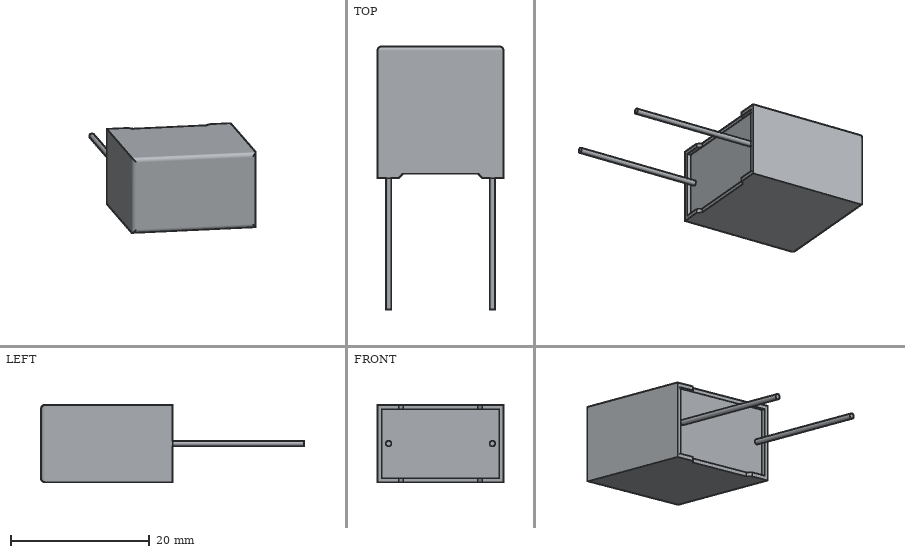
import cadquery as cq

total_length = 38.1
case_width = 18.3
case_height = 11.2
case_depth = 19.05
wall = 0.6
back_edge_radius = 0.6
notch_floor_width = 10.82
notch_depth = 0.6
fill_recess = notch_depth
lead_diameter = 0.8
lead_pitch = 15.0

lead_tip_y = -total_length / 2
case_back_y = total_length / 2
case_mouth_y = case_back_y - case_depth
cavity_back_y = case_back_y - wall
fill_face_y = case_mouth_y + fill_recess


def block(width, height, start_y, end_y):
    """Block centred on the Y axis, reaching from start_y to end_y."""
    return (
        cq.Workplane("XY")
        .box(width, end_y - start_y, height)
        .translate((0, (start_y + end_y) / 2, 0))
    )


def make_mouth_notch():
    """Cutter for the notch with 45 degree ends in both long walls of the mouth."""
    half_floor = notch_floor_width / 2
    half_mouth = half_floor + notch_depth
    floor_y = case_mouth_y + notch_depth
    return (
        cq.Workplane("XY")
        .polyline([
            (-half_mouth, case_mouth_y),
            (-half_floor, floor_y),
            (half_floor, floor_y),
            (half_mouth, case_mouth_y),
        ])
        .close()
        .extrude(case_height, both=True)
    )


def make_housing():
    """Open box with rounded back edges and a notch in each long wall."""
    shell = block(case_width, case_height, case_mouth_y, case_back_y)
    shell = shell.faces(">Y").edges().fillet(back_edge_radius)
    cavity = block(case_width - 2 * wall, case_height - 2 * wall, case_mouth_y, cavity_back_y)
    return shell.cut(cavity).cut(make_mouth_notch())


def make_filling():
    """Potting block that fills the housing up to the floor of the notches."""
    return block(case_width - 2 * wall, case_height - 2 * wall, fill_face_y, cavity_back_y)


def make_lead(x):
    """Straight round wire standing on the face of the filling."""
    return (
        cq.Workplane("XZ", origin=(x, fill_face_y, 0))
        .circle(lead_diameter / 2)
        .extrude(fill_face_y - lead_tip_y)
    )


housing = make_housing()
filling = make_filling()
leads = [make_lead(side * lead_pitch / 2) for side in (-1, 1)]

result = cq.Compound.makeCompound([
    housing.val(),
    filling.val(),
    *[lead.val() for lead in leads],
])